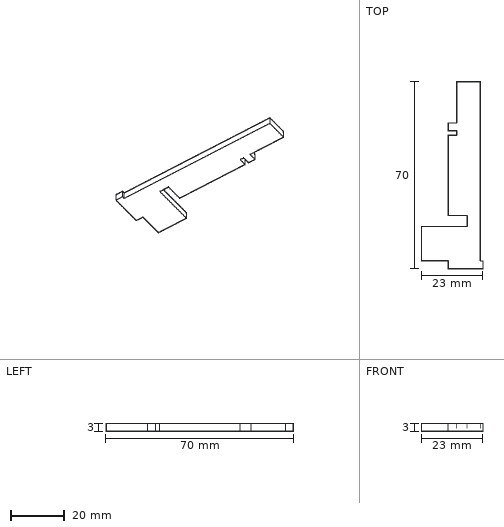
import cadquery as cq

length = 70.0
width = 23.0
thickness = 3.0

body_left = 9.95
neck_left = 13.1
foot_slot_end = 17.1
body_right = 22.0

base_height = 3.0
foot_top = 15.95
foot_slot_width = 4.0
body_top = 50.05
latch_slot_width = 1.55
latch_height = 3.0

foot_slot_top = foot_top + foot_slot_width
latch_bottom = body_top + latch_slot_width
latch_top = latch_bottom + latch_height

outline = [
    (body_left, 0),
    (width, 0),
    (width, base_height),
    (body_right, base_height),
    (body_right, length),
    (neck_left, length),
    (neck_left, latch_top),
    (body_left, latch_top),
    (body_left, latch_bottom),
    (neck_left, latch_bottom),
    (neck_left, body_top),
    (body_left, body_top),
    (body_left, foot_slot_top),
    (foot_slot_end, foot_slot_top),
    (foot_slot_end, foot_top),
    (0, foot_top),
    (0, base_height),
    (body_left, base_height),
]

result = cq.Workplane("XY").polyline(outline).close().extrude(thickness)